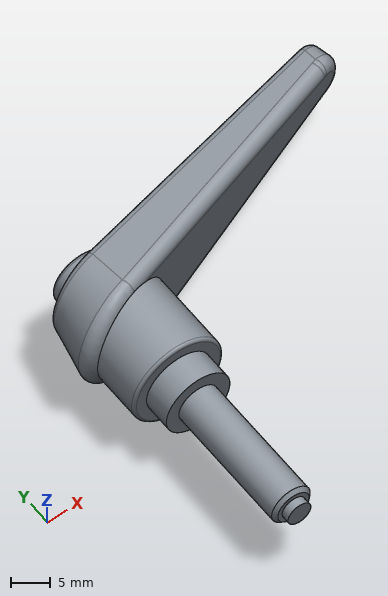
import cadquery as cq
import math


arm_length = 42.05
head_radius = 10.65
tip_radius = 8.9
draft_angle = 12.0
draft_height = 33.8
upper_slope = 15.0
upper_height = 19.25
lower_slope = 20.0
lower_height = 10.0
upper_fillet = 1.2
lower_fillet = 1.65
trim_margin = 22.5

hub_radius = 7.05
hub_fillet = 0.45
cap_radius = 4.5
cap_top = 20.55
cap_fillet = 0.45

collar_radius = 5.0
collar_length = 4.15
shank_radius = 3.05
shank_end = 24.2
shank_chamfer = 0.55
pin_radius = 1.8
stud_length = 25.45


def round_bar(radius, start, end):
    """Cylinder on the Y axis between two Y positions."""
    length = end - start
    return cq.Workplane(cq.Solid.makeCylinder(radius, length, cq.Vector(0, start, 0), cq.Vector(0, 1, 0)))


def sloped_height(height, slope, x):
    """Y of a sloping plane at x, given its Y on the clamp axis."""
    return height + x * math.tan(math.radians(slope))


def drafted_arm():
    """Two arcs joined by tangent lines, drafted inward along +Y."""
    tangent_angle = math.asin((head_radius - tip_radius) / arm_length)
    sine = math.sin(tangent_angle)
    cosine = math.cos(tangent_angle)
    head_x, head_side = head_radius * sine, head_radius * cosine
    tip_x, tip_side = arm_length + tip_radius * sine, tip_radius * cosine
    seat_plane = cq.Plane(origin=(0, 0, 0), xDir=(1, 0, 0), normal=(0, 1, 0))
    return (
        cq.Workplane(seat_plane)
        .moveTo(head_x, head_side)
        .threePointArc((-head_radius, 0), (head_x, -head_side))
        .lineTo(tip_x, -tip_side)
        .threePointArc((arm_length + tip_radius, 0), (tip_x, tip_side))
        .close()
        .extrude(draft_height, taper=draft_angle)
    )


def lever_arm():
    """Drafted arm cut to the wedge between the sloping planes, with rounded rims."""
    near_x = -trim_margin
    far_x = arm_length + trim_margin
    wedge = (
        cq.Workplane("XY")
        .polyline([
            (near_x, sloped_height(lower_height, lower_slope, near_x)),
            (far_x, sloped_height(lower_height, lower_slope, far_x)),
            (far_x, sloped_height(upper_height, upper_slope, far_x)),
            (near_x, sloped_height(upper_height, upper_slope, near_x)),
        ])
        .close()
        .extrude(head_radius, both=True)
    )
    arm = drafted_arm().intersect(wedge)
    upper_normal = cq.Vector(-math.sin(math.radians(upper_slope)), math.cos(math.radians(upper_slope)), 0)
    lower_normal = cq.Vector(math.sin(math.radians(lower_slope)), -math.cos(math.radians(lower_slope)), 0)
    arm = arm.faces(cq.DirectionMinMaxSelector(upper_normal)).edges().fillet(upper_fillet)
    return arm.faces(cq.DirectionMinMaxSelector(lower_normal)).edges().fillet(lower_fillet)


def make_handle():
    """Lever arm with the hub below it and the cap above it."""
    hub_top = (lower_height + upper_height) / 2
    hub = round_bar(hub_radius, 0, hub_top).faces("<Y").edges().fillet(hub_fillet)
    cap = round_bar(cap_radius, hub_top, cap_top).faces(">Y").edges().fillet(cap_fillet)
    return lever_arm().union(hub).union(cap)


def make_stud():
    """Collar, shank with a chamfered end, and end pin."""
    collar = round_bar(collar_radius, -collar_length, 0)
    shank = round_bar(shank_radius, -shank_end, -collar_length).faces("<Y").chamfer(shank_chamfer)
    pin = round_bar(pin_radius, -stud_length, -shank_end)
    return collar.union(shank).union(pin)


handle = make_handle()
stud = make_stud()

result = cq.Compound.makeCompound([handle.val(), stud.val()])